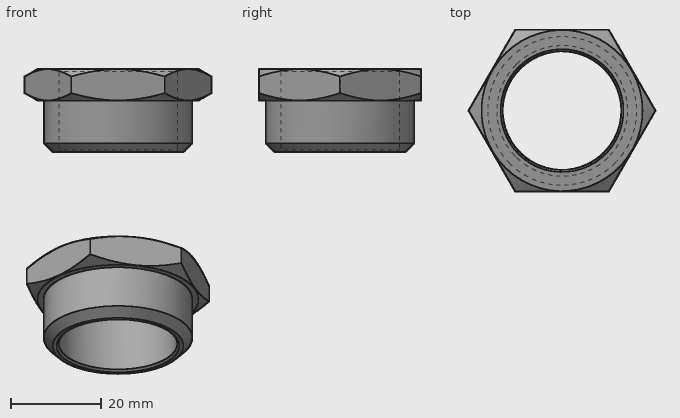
import cadquery as cq
import math

across_corners = 41.55
total_height = 18.5
head_height = 7.03

shank_diameter = 33.05
bore_diameter = 26.3
shank_chamfer = 2.0
bore_chamfer = 0.5

bevel_face_diameter = 35.8
bevel_angle = 30.0

corner_radius = across_corners / 2
head_bottom = total_height - head_height


def make_head():
    """Hexagonal head with corners on the X axis, trimmed by a double cone."""
    hexagon = (
        cq.Workplane("XY", origin=(0, 0, head_bottom))
        .polygon(6, across_corners)
        .extrude(head_height)
    )
    face_radius = bevel_face_diameter / 2
    bevel_drop = (corner_radius - face_radius) * math.tan(math.radians(bevel_angle))
    envelope = (
        cq.Workplane("XZ")
        .moveTo(0, head_bottom)
        .lineTo(face_radius, head_bottom)
        .lineTo(corner_radius, head_bottom + bevel_drop)
        .lineTo(corner_radius, total_height - bevel_drop)
        .lineTo(face_radius, total_height)
        .lineTo(0, total_height)
        .close()
        .revolve(360, (0, 0, 0), (0, 1, 0))
    )
    return hexagon.intersect(envelope)


def make_shank():
    """Round shank below the head, chamfered at its lower end."""
    shank = cq.Workplane("XY").circle(shank_diameter / 2).extrude(head_bottom)
    return shank.faces("<Z").chamfer(shank_chamfer)


def make_bore():
    """Through bore with a 45 degree lead-in at both ends."""
    bore_radius = bore_diameter / 2
    mouth_radius = bore_radius + bore_chamfer
    return (
        cq.Workplane("XZ")
        .moveTo(0, 0)
        .lineTo(mouth_radius, 0)
        .lineTo(bore_radius, bore_chamfer)
        .lineTo(bore_radius, total_height - bore_chamfer)
        .lineTo(mouth_radius, total_height)
        .lineTo(0, total_height)
        .close()
        .revolve(360, (0, 0, 0), (0, 1, 0))
    )


result = make_head().union(make_shank()).cut(make_bore())